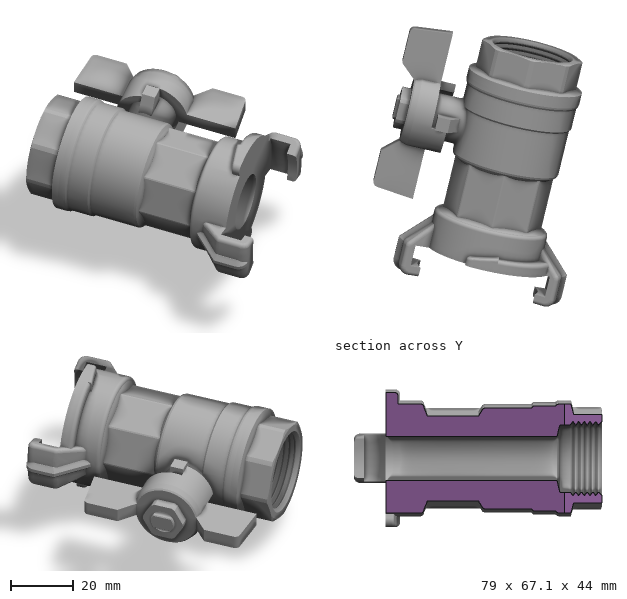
import cadquery as cq
import math


cap_length = 12.1
flange_foot = 9.0
rim_end = 14.9
barrel_step = 22.2
barrel_end = 38.1
coupling_start = 55.7
coupling_face = 69.0
claw_tip = 79.0

rim_radius = 18.5
rim_round = 0.6
rim_round_drop = 0.15
flange_slope = 0.9
step_length = 0.6
barrel_end_round = 0.7
barrel_end_drop = 0.3
barrel_slope_mid = 0.6
barrel_slope = 1.3
ring_slope = 1.0
wide_barrel_radius = 17.9
barrel_radius = 17.3
shoulder_radius = 15.1
coupling_round = 1.2
bore_radius = 9.25

cap_corner_radius = 16.7
cap_turned_radius = 16.4
body_corner_radius = 16.15
body_turned_radius = 16.05
octagon_chamfer = 0.35
octagon_chamfer_radius = 15.4

thread_major_radius = 13.22
thread_minor_radius = 12.3
thread_pitch = 1.814
thread_start = 1.0
mouth_radius = 13.3
thread_crest_width = 0.3
thread_turns = 5
seat_cone_start = 13.4
seat_cone_end = 14.3

stem_x = 27.9
neck_radius = 7.3
neck_top = 26.1
neck_round = 0.8
stem_radius = 4.0
stem_flat_width = 5.2
stem_bottom = 11.0
stem_top = 38.5
stem_chamfer = 0.3
stop_width = 4.4
stop_reach = 12.5
stop_top = 24.9
stop_shoulder = 20.75
stop_bottom = 17.6

hub_radius = 11.2
hub_top = 34.6
hub_shoulder = 32.2
hub_crown_radius = 10.6
hub_crown_y = 34.1
hub_top_radius = 10.2
skirt_bottom = 21.1
skirt_inner_radius = 8.5
wing_thickness = 4.6
wing_top = 39.6
wing_base_half = 27.6
wing_tip_half = 26.2
wing_slope_half = 14.7
wing_round = 1.6

nut_across_flats = 12.3
nut_turned_radius = 6.75
nut_top = 37.6

claw_half_angle = 18.5
claw_root_x = 60.3
claw_root_radius = 17.5
claw_slope_x = 68.9
claw_outer_radius = 26.0
claw_inner_radius = 23.2
claw_hook_radius = 19.7
claw_hook_thickness = 3.1
claw_tip_round = 2.6
claw_edge_round = 1.2
claw_bend_round = 1.8
rib_ridge_half = 0.6
rib_flank_width = 1.5
rib_flank_angle = 45
rib_root_x = 58.4
rib_slope_x = 68.7
rib_outer = 27.5
rib_tip_radius = 3.2

lip_outer_radius = 21.995
lip_inner_radius = 17.5
lip_back_x = 65.0
lip_round = 1.2
lip_start_angle = 10.0
lip_end_angle = 106.5
ramp_overlap = 5.0
ramp_start_y = 4.2
ramp_end_y = -5.8
ramp_start_x = 64.4
ramp_end_x = 66.4
ramp_corner_round = 2.0
ramp_edge_round = 0.8


def turned(points):
    """Solid of revolution about X from a closed (x, radius) outline."""
    return cq.Workplane("XY").polyline(points).close().revolve(360, (0, 0, 0), (1, 0, 0))


def flow_cylinder(radius, start, end):
    return cq.Workplane("YZ", origin=(start, 0, 0)).circle(radius).extrude(end - start)


def stem_plane(y):
    """Plane across the stem axis; extrude by a negative length to go toward +Y."""
    return cq.Workplane("XZ", origin=(stem_x, y, 0))


def stem_cylinder(radius, bottom, top):
    return stem_plane(bottom).circle(radius).extrude(bottom - top)


def round_edge(body, point, radius):
    """Fillet the edge nearest to a point, along with the edges tangent to it."""
    return body.edges(cq.selectors.NearestToPointSelector(point)).fillet(radius)


def octagon(start, end, corner_radius, turned_radius):
    """Octagonal prism with corners on the Y and Z axes, trimmed to a radius."""
    prism = (
        cq.Workplane("YZ", origin=(start, 0, 0))
        .polygon(8, 2 * corner_radius)
        .extrude(end - start)
    )
    return prism.intersect(flow_cylinder(turned_radius, start, end))


def threaded_bore():
    """Bore of the cap: chamfered mouth, ring grooves, then a plain relief."""
    outline = [(0, 0), (0, mouth_radius), (thread_start, thread_minor_radius)]
    for turn in range(thread_turns):
        crest = thread_start + turn * thread_pitch
        outline.append((crest + thread_crest_width, thread_minor_radius))
        outline.append((crest + (thread_pitch + thread_crest_width) / 2, thread_major_radius))
        outline.append((crest + thread_pitch, thread_minor_radius))
    outline += [(cap_length, thread_minor_radius), (cap_length, 0)]
    return turned(outline)


def make_cap():
    wrench = octagon(0, cap_length, cap_corner_radius, cap_turned_radius)
    chamfer_envelope = turned([
        (0, 0),
        (0, octagon_chamfer_radius),
        (octagon_chamfer, cap_turned_radius),
        (octagon_chamfer, rim_radius),
        (cap_length, rim_radius),
        (cap_length, 0),
    ])
    flange = turned([
        (flange_foot, 0),
        (flange_foot, octagon_chamfer_radius),
        (flange_foot + flange_slope, rim_radius),
        (cap_length, rim_radius),
        (cap_length, 0),
    ])
    cap = wrench.intersect(chamfer_envelope).union(flange)
    return cap.cut(threaded_bore())


def make_barrel():
    barrel = (
        cq.Workplane("XY")
        .moveTo(cap_length, 0)
        .lineTo(cap_length, rim_radius)
        .lineTo(rim_end - 2 * rim_round, rim_radius)
        .lineTo(rim_end - rim_round, rim_radius - rim_round_drop)
        .lineTo(rim_end, wide_barrel_radius)
        .lineTo(barrel_step - step_length / 2, wide_barrel_radius)
        .lineTo(barrel_step + step_length / 2, barrel_radius)
        .lineTo(barrel_end - barrel_end_round, barrel_radius)
        .lineTo(barrel_end, barrel_radius - barrel_end_drop)
        .lineTo(barrel_end + barrel_slope_mid, body_turned_radius)
        .lineTo(barrel_end + barrel_slope, shoulder_radius)
        .lineTo(barrel_end + barrel_slope, 0)
        .close()
        .revolve(360, (0, 0, 0), (1, 0, 0))
    )
    wrench_end = coupling_start + ring_slope
    return barrel.union(octagon(barrel_end, wrench_end, body_corner_radius, body_turned_radius))


def make_coupling_ring():
    round_mid = coupling_round * (1 - math.sqrt(0.5))
    shoulder_x = coupling_start + ring_slope
    return (
        cq.Workplane("XY")
        .moveTo(coupling_start, 0)
        .lineTo(coupling_start, shoulder_radius)
        .lineTo(shoulder_x, rim_radius - coupling_round)
        .threePointArc(
            (shoulder_x + round_mid, rim_radius - round_mid),
            (shoulder_x + coupling_round, rim_radius),
        )
        .lineTo(coupling_face, rim_radius)
        .lineTo(coupling_face, 0)
        .close()
        .revolve(360, (0, 0, 0), (1, 0, 0))
    )


def make_stop():
    """Cross bar on the neck that limits the handle to a quarter turn."""
    return (
        cq.Workplane("YZ", origin=(stem_x - stop_width / 2, 0, 0))
        .polyline([
            (stop_top, stop_reach),
            (stop_shoulder, stop_reach),
            (stop_bottom, neck_radius),
            (stop_bottom, -neck_radius),
            (stop_shoulder, -stop_reach),
            (stop_top, -stop_reach),
        ])
        .close()
        .extrude(stop_width)
    )


def rib_outline(height=0):
    """Side outline of the centre rib, on a plane parallel to XY."""
    rib_mid = rib_tip_radius * (1 - math.sqrt(0.5))
    return (
        cq.Workplane("XY", origin=(0, 0, height))
        .moveTo(rib_root_x, claw_root_radius)
        .lineTo(rib_slope_x, rib_outer)
        .lineTo(claw_tip - rib_tip_radius, rib_outer)
        .threePointArc(
            (claw_tip - rib_mid, rib_outer - rib_mid),
            (claw_tip, rib_outer - rib_tip_radius),
        )
        .lineTo(claw_tip - claw_hook_thickness, claw_inner_radius)
        .lineTo(coupling_face, claw_inner_radius)
        .lineTo(coupling_face, claw_root_radius)
        .close()
    )


def make_claw():
    """Hooked claw on the +Y side: a radial wedge with a raised centre rib."""
    hook_x = claw_tip - claw_hook_thickness
    tip_mid = claw_tip_round * (1 - math.sqrt(0.5))
    wedge = (
        cq.Workplane("XY")
        .moveTo(claw_root_x, claw_root_radius)
        .lineTo(claw_slope_x, claw_outer_radius)
        .lineTo(claw_tip - claw_tip_round, claw_outer_radius)
        .threePointArc(
            (claw_tip - tip_mid, claw_outer_radius - tip_mid),
            (claw_tip, claw_outer_radius - claw_tip_round),
        )
        .lineTo(claw_tip, claw_hook_radius)
        .lineTo(hook_x, claw_hook_radius)
        .lineTo(hook_x, claw_inner_radius)
        .lineTo(coupling_face, claw_inner_radius)
        .lineTo(coupling_face, claw_root_radius)
        .close()
        .revolve(2 * claw_half_angle, (0, 0, 0), (1, 0, 0))
        .rotate((0, 0, 0), (1, 0, 0), -claw_half_angle)
    )
    wedge = round_edge(wedge, (claw_slope_x, claw_outer_radius, 0), claw_bend_round)
    side_angle = math.radians(claw_half_angle)
    side_x = (claw_slope_x + claw_tip - claw_tip_round) / 2
    side_y = claw_outer_radius * math.cos(side_angle)
    side_z = claw_outer_radius * math.sin(side_angle)
    for side in (-1, 1):
        wedge = round_edge(wedge, (side_x, side_y, side * side_z), claw_edge_round)
    for side in (-1, 1):
        wedge = wedge.union(rib_outline().extrude(side * rib_ridge_half))
        flank = rib_outline(side * rib_ridge_half).extrude(side * rib_flank_width, taper=rib_flank_angle)
        wedge = wedge.union(flank)
    return wedge


def make_lip():
    """Lip from the +Y claw over the +Z side, ending in a sloped ramp."""
    round_mid = lip_round * (1 - math.sqrt(0.5))
    ramp_angle = math.degrees(math.acos(ramp_start_y / lip_outer_radius))
    lip = (
        cq.Workplane("XY")
        .moveTo(coupling_face, lip_inner_radius)
        .lineTo(coupling_face, lip_outer_radius)
        .lineTo(lip_back_x + lip_round, lip_outer_radius)
        .threePointArc(
            (lip_back_x + round_mid, lip_outer_radius - round_mid),
            (lip_back_x, lip_outer_radius - lip_round),
        )
        .lineTo(lip_back_x, lip_inner_radius)
        .close()
        .revolve(ramp_angle - lip_start_angle, (0, 0, 0), (1, 0, 0))
        .rotate((0, 0, 0), (1, 0, 0), lip_start_angle)
    )
    ramp_outline = (
        cq.Workplane("XY")
        .polyline([
            (ramp_start_x, ramp_start_y),
            (coupling_face, ramp_start_y),
            (coupling_face, 2 * ramp_end_y),
            (2 * ramp_end_x - ramp_start_x, 2 * ramp_end_y - ramp_start_y),
        ])
        .close()
        .extrude(2 * lip_outer_radius)
    )
    ramp = (
        cq.Workplane("XY")
        .moveTo(ramp_start_x, lip_inner_radius)
        .lineTo(coupling_face, lip_inner_radius)
        .lineTo(coupling_face, lip_outer_radius)
        .lineTo(ramp_start_x, lip_outer_radius)
        .close()
        .revolve(lip_end_angle - ramp_angle + ramp_overlap, (0, 0, 0), (1, 0, 0))
        .rotate((0, 0, 0), (1, 0, 0), ramp_angle - ramp_overlap)
        .intersect(ramp_outline)
    )
    end_y = lip_outer_radius * math.cos(math.radians(lip_end_angle))
    end_z = lip_outer_radius * math.sin(math.radians(lip_end_angle))
    end_x = (ramp_end_x + coupling_face) / 2
    ramp = round_edge(ramp, (end_x, end_y, end_z), ramp_corner_round)
    ramp = round_edge(ramp, ((ramp_start_x + ramp_end_x) / 2, 0, lip_outer_radius), ramp_edge_round)
    return lip.union(ramp)


def make_housing():
    neck_foot_low = math.sqrt(barrel_radius**2 - neck_radius**2)
    neck_foot = cq.selectors.BoxSelector(
        (stem_x - neck_radius - neck_round, neck_foot_low, -neck_radius),
        (stem_x + neck_radius - neck_round, wide_barrel_radius, neck_radius),
    )
    housing = make_barrel().union(make_coupling_ring())
    housing = housing.union(stem_cylinder(neck_radius, 0, neck_top))
    housing = housing.edges(neck_foot).fillet(neck_round)
    housing = housing.union(make_stop())
    for half_turn in (0, 180):
        for feature in (make_claw(), make_lip()):
            housing = housing.union(feature.rotate((0, 0, 0), (1, 0, 0), half_turn))
    seat_cone = turned([
        (cap_length, 0),
        (cap_length, thread_minor_radius),
        (seat_cone_start, thread_minor_radius),
        (seat_cone_end, bore_radius),
        (coupling_face, bore_radius),
        (coupling_face, 0),
    ])
    housing = housing.cut(seat_cone)
    return housing.cut(stem_cylinder(stem_radius, stem_bottom, neck_top))


def stem_flats(bottom, top):
    """Round stem section with two flats facing +Z and -Z."""
    flats = stem_plane(bottom).rect(2 * stem_radius, stem_flat_width).extrude(bottom - top)
    return stem_cylinder(stem_radius, bottom, top).intersect(flats)


def make_stem():
    end = stem_flats(neck_top, stem_top).faces(">Y").chamfer(stem_chamfer)
    return stem_cylinder(stem_radius, stem_bottom, neck_top).union(end)


def make_wings():
    outline = [
        (-wing_base_half, neck_top),
        (-wing_tip_half, wing_top),
        (-wing_slope_half, wing_top),
        (-hub_top_radius, hub_top),
        (hub_top_radius, hub_top),
        (wing_slope_half, wing_top),
        (wing_tip_half, wing_top),
        (wing_base_half, neck_top),
    ]
    wings = (
        cq.Workplane("XY", origin=(stem_x, 0, -wing_thickness / 2))
        .polyline(outline)
        .close()
        .extrude(wing_thickness)
    )
    for side in (-1, 1):
        wings = round_edge(wings, (stem_x + side * wing_tip_half, wing_top, 0), wing_round)
    return wings


def make_skirt():
    """Two opposite quarter rings that strike the stop at the ends of travel."""
    height = neck_top - skirt_bottom
    ring = stem_plane(skirt_bottom).circle(hub_radius).circle(skirt_inner_radius).extrude(-height)
    centre = (stop_width + hub_radius) / 2
    keep = (
        stem_plane(skirt_bottom)
        .pushPoints([(-centre, centre), (centre, -centre)])
        .rect(hub_radius, hub_radius)
        .extrude(-height)
    )
    return ring.intersect(keep)


def make_handle():
    hub = (
        cq.Workplane("XY")
        .polyline([
            (0, neck_top),
            (hub_radius, neck_top),
            (hub_radius, hub_shoulder),
            (hub_crown_radius, hub_crown_y),
            (hub_top_radius, hub_top),
            (0, hub_top),
        ])
        .close()
        .revolve(360, (0, 0, 0), (0, 1, 0))
        .translate((stem_x, 0, 0))
    )
    handle = hub.union(make_wings()).union(make_skirt())
    return handle.cut(stem_flats(neck_top, hub_top))


def make_nut():
    across_corners = nut_across_flats / math.cos(math.pi / 6)
    hexagon = stem_plane(hub_top).polygon(6, across_corners).extrude(hub_top - nut_top)
    nut = hexagon.intersect(stem_cylinder(nut_turned_radius, hub_top, nut_top))
    return nut.cut(stem_cylinder(stem_radius, hub_top, nut_top))


cap = make_cap()
housing = make_housing()
stem = make_stem()
handle = make_handle()
nut = make_nut()

bodies = [cap, housing, stem, handle, nut]
result = cq.Compound.makeCompound([body.solids().val() for body in bodies])